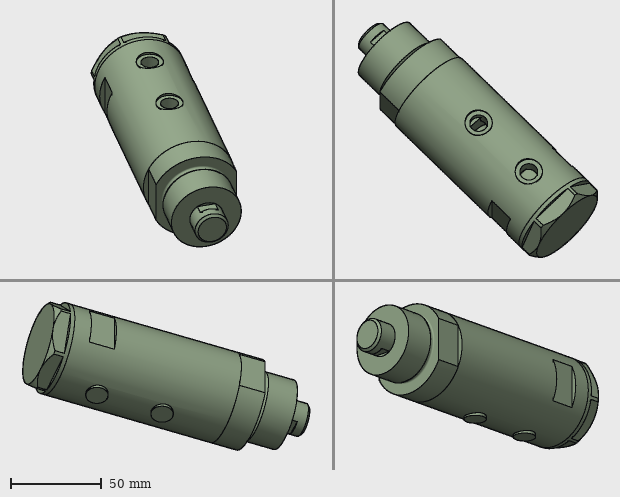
import cadquery as cq
import math

hex_length = 8.6
flange_length = 2.5
housing_start = hex_length + flange_length
gland_start = 110.1
gland_shoulder = 125.4
nose_start = 128.6
nose_end = 145.9
tip_end = 158.02

barrel_radius = 26.0
flat_distance = 23.0
housing_flat_start = 20.95
housing_flat_length = 14.9

bore_radius = 17.0
plug_spigot_end = 35.1
gland_spigot_start = 73.3
gland_spigot_radius = 21.2
piston_length = 15.0

port_positions = (30.5, 70.6)
port_radius = 4.9
spotface_radius = 7.5
spotface_height = 24.6
boss_positions = (34.8, 73.5)
boss_radius = 6.2
boss_bottom = -27.1

hex_across_flats = 2 * flat_distance
hex_turn = 8.0
hex_chamfer = barrel_radius - flat_distance

nose_radius = 20.0
relief_radius = 19.05
relief_fillet = 0.9
relief_slope = 45.0

rod_radius = 9.5
tip_neck_half_height = 8.0
tip_neck_end = 151.8
tip_chamfer = 1.4


def cylinder(radius, start, end):
    """Solid cylinder around the X axis between two stations."""
    return cq.Workplane("YZ").workplane(offset=start).circle(radius).extrude(end - start)


def mill_flats(body, start, end):
    """Mill two parallel flats facing -Y and +Y between two stations."""
    depth = barrel_radius - flat_distance
    for side in (-1, 1):
        cutter = cq.Workplane("XY").box(end - start, depth, 2 * barrel_radius)
        middle = side * (flat_distance + depth / 2)
        body = body.cut(cutter.translate(((start + end) / 2, middle, 0)))
    return body


def upright_cylinder(radius, x, bottom, top):
    """Solid cylinder along Z at a station on the X axis."""
    return cq.Workplane("XY", origin=(x, 0, bottom)).circle(radius).extrude(top - bottom)


def make_housing():
    bore = cylinder(bore_radius, housing_start, gland_start)
    gland_seat = cylinder(gland_spigot_radius, gland_spigot_start, gland_start)
    housing = cylinder(barrel_radius, housing_start, gland_start)
    for x in boss_positions:
        housing = housing.union(upright_cylinder(boss_radius, x, boss_bottom, 0))
    housing = housing.cut(bore).cut(gland_seat)
    for x in port_positions:
        housing = housing.cut(upright_cylinder(port_radius, x, 0, barrel_radius))
        housing = housing.cut(upright_cylinder(spotface_radius, x, spotface_height, barrel_radius))
    return mill_flats(housing, housing_flat_start, housing_flat_start + housing_flat_length)


def make_plug():
    hex_corner_diameter = hex_across_flats / math.cos(math.radians(30))
    hex_prism = cq.Workplane("YZ").polygon(6, hex_corner_diameter).extrude(hex_length)
    hex_prism = hex_prism.rotate((0, 0, 0), (1, 0, 0), -hex_turn)
    chamfered_blank = cylinder(barrel_radius, 0, hex_length).faces("<X").chamfer(hex_chamfer)
    flange = cylinder(barrel_radius, hex_length, housing_start)
    spigot = cylinder(bore_radius, housing_start, plug_spigot_end)
    return hex_prism.intersect(chamfered_blank).union(flange).union(spigot)


def make_gland():
    """Front cap: seated spigot, flatted collar, relief groove with a sloped runout, and nose."""
    quarter_middle = relief_fillet * (1 - math.sin(math.radians(45)))
    fillet_top = relief_radius + relief_fillet
    slope = math.radians(relief_slope)
    arc_length = relief_fillet * math.sin(slope)
    arc_rise = relief_fillet * (1 - math.cos(slope))
    cone_start = nose_start - (nose_radius - relief_radius - arc_rise) / math.tan(slope)
    floor_end = cone_start - arc_length
    arc_middle_x = floor_end + relief_fillet * math.sin(slope / 2)
    arc_middle_radius = relief_radius + relief_fillet * (1 - math.cos(slope / 2))
    groove = (
        cq.Workplane("XY")
        .moveTo(gland_shoulder, barrel_radius)
        .lineTo(gland_shoulder, fillet_top)
        .threePointArc(
            (gland_shoulder + quarter_middle, relief_radius + quarter_middle),
            (gland_shoulder + relief_fillet, relief_radius),
        )
        .lineTo(floor_end, relief_radius)
        .threePointArc((arc_middle_x, arc_middle_radius), (cone_start, relief_radius + arc_rise))
        .lineTo(nose_start, nose_radius)
        .lineTo(nose_start, barrel_radius)
        .close()
        .revolve(360, (0, 0, 0), (1, 0, 0))
    )
    collar = cylinder(barrel_radius, gland_start, nose_start)
    collar = mill_flats(collar, gland_start, nose_start).cut(groove)
    spigot = cylinder(gland_spigot_radius, gland_spigot_start, gland_start)
    nose = cylinder(nose_radius, nose_start, nose_end)
    rod_hole = cylinder(rod_radius, gland_spigot_start, nose_end)
    return collar.union(spigot).union(nose).cut(rod_hole)


def make_piston_rod():
    rod = cylinder(rod_radius, plug_spigot_end, tip_end)
    rod = rod.faces(">X").edges().chamfer(tip_chamfer)
    neck_length = tip_neck_end - nose_end
    flat_depth = rod_radius - tip_neck_half_height
    for side in (-1, 1):
        cutter = cq.Workplane("XY").box(neck_length, 2 * rod_radius, flat_depth)
        middle = side * (tip_neck_half_height + flat_depth / 2)
        rod = rod.cut(cutter.translate((nose_end + neck_length / 2, 0, middle)))
    piston = cylinder(bore_radius, plug_spigot_end, plug_spigot_end + piston_length)
    return rod.union(piston)


housing = make_housing()
plug = make_plug()
gland = make_gland()
piston_rod = make_piston_rod()

result = cq.Compound.makeCompound([housing.val(), plug.val(), gland.val(), piston_rod.val()])